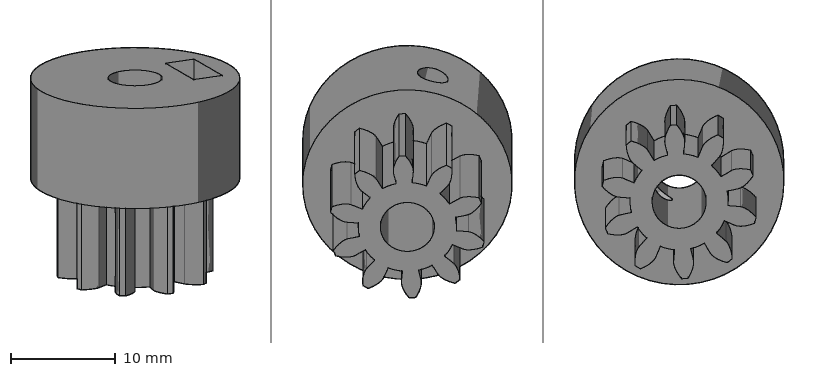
import cadquery as cq
import math

collar_diameter = 20.0
collar_height = 10.0
gear_height = 9.5
bore_diameter = 5.15
total_height = gear_height + collar_height

tooth_count = 10
pitch_diameter = 12.5
dedendum_factor = 1.25
pressure_angle = math.radians(20)
backlash_angle = math.radians(0.5)
gear_module = pitch_diameter / tooth_count
pitch_radius = pitch_diameter / 2
root_radius = pitch_radius - dedendum_factor * gear_module
tip_radius = pitch_radius + gear_module
base_radius = pitch_radius * math.cos(pressure_angle)
flank_samples = 6

screw_diameter = 3.0
screw_depth_below_top = 6.0
pocket_width = 6.0
pocket_thickness = 3.05
pocket_inner_y = 4.75
pocket_depth = screw_depth_below_top + pocket_width / 2


def involute_angle(radius):
    """Angle swept by the involute between the base circle and a radius."""
    contact_angle = math.acos(base_radius / radius)
    return math.tan(contact_angle) - contact_angle


def polar(radius, angle):
    return (radius * math.cos(angle), radius * math.sin(angle))


base_half_angle = math.pi / (2 * tooth_count) + involute_angle(pitch_radius) - backlash_angle


def flank(center_angle, side):
    """Points along one tooth flank from the base circle to the tip."""
    points = []
    for i in range(flank_samples + 1):
        radius = base_radius + (tip_radius - base_radius) * i / flank_samples
        half_angle = base_half_angle - involute_angle(radius)
        points.append(polar(radius, center_angle + side * half_angle))
    return points


def make_gear():
    """Involute teeth with radial flanks below the base circle and flat tips."""
    tooth_pitch = 2 * math.pi / tooth_count
    outline = cq.Workplane("XY").moveTo(*polar(root_radius, -base_half_angle))
    for i in range(tooth_count):
        center = i * tooth_pitch
        rising = flank(center, -1)
        falling = flank(center, 1)[::-1]
        outline = outline.lineTo(*rising[0]).spline(rising[1:], includeCurrent=True)
        outline = outline.lineTo(*falling[0]).spline(falling[1:], includeCurrent=True)
        outline = outline.lineTo(*polar(root_radius, center + base_half_angle))
        valley_middle = polar(root_radius, center + tooth_pitch / 2)
        next_tooth_root = polar(root_radius, center + tooth_pitch - base_half_angle)
        outline = outline.threePointArc(valley_middle, next_tooth_root)
    return outline.close().extrude(gear_height)


def make_collar():
    return cq.Workplane("XY").workplane(offset=gear_height).circle(collar_diameter / 2).extrude(collar_height)


def make_bore():
    return cq.Workplane("XY").circle(bore_diameter / 2).extrude(total_height)


def make_screw_hole():
    """Radial hole from the axis out through the +Y side of the collar."""
    return (
        cq.Workplane("XZ")
        .center(0, total_height - screw_depth_below_top)
        .circle(screw_diameter / 2)
        .extrude(-collar_diameter / 2)
    )


def make_nut_pocket():
    return (
        cq.Workplane("XY")
        .workplane(offset=total_height)
        .center(0, pocket_inner_y + pocket_thickness / 2)
        .rect(pocket_width, pocket_thickness)
        .extrude(-pocket_depth)
    )


body = make_gear().union(make_collar())
result = body.cut(make_bore()).cut(make_screw_hole()).cut(make_nut_pocket())